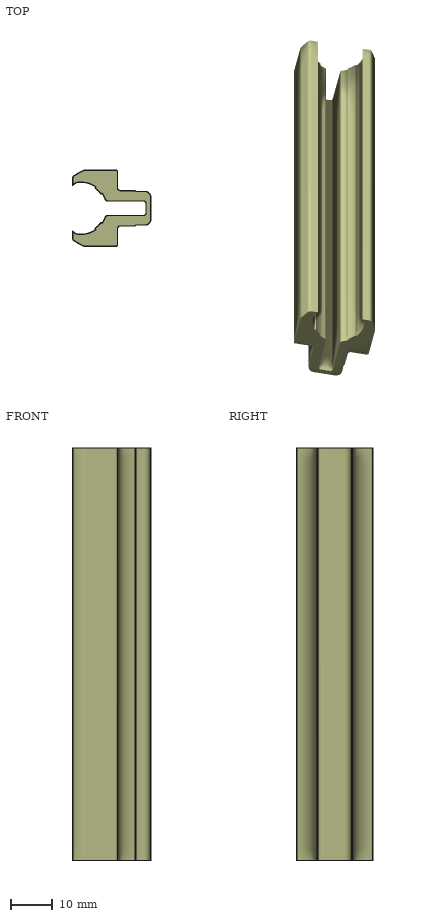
import cadquery as cq
import math

length = 100.0
depth = 19.0
width = 18.5
half_width = width / 2

jaw_depth = 10.9
lip_half_width = 7.7
bevel_angle = 30.0
lip_radius = 1.0
bevel_radius = 1.5
jaw_back_radius = 0.4

neck_root_half_width = 4.3
neck_back_half_width = 4.1
neck_step_x = 15.1
neck_step_length = 0.3
neck_root_radius = 0.7
neck_back_radius = 1.5

socket_center_x = 2.0
socket_radius = 6.3
mouth_half_width = 5.55
mouth_bevel_depth = 0.9
ridge_height = 0.35
ridge_center_angle = 45.0
ridge_half_angle = 10.0

slot_half_width = 1.75
slot_end_x = 17.8
slot_end_radius = 0.6
slot_mouth_radius = 0.6


def socket_point(angle, radius=socket_radius):
    """Point at an angle (degrees from +X) around the socket axis."""
    a = math.radians(angle)
    return (socket_center_x + radius * math.cos(a), radius * math.sin(a))


def round_corners(solid, corners, radius):
    """Fillet the full-length edges at the given corners and at their mirror images in Y."""
    for x, y in corners:
        for side in (1, -1):
            edge = cq.selectors.NearestToPointSelector((x, side * y, length / 2))
            solid = solid.edges("|Z").edges(edge).fillet(radius)
    return solid


def outer_body(lip, bevel_top, jaw_back, neck_root, step_front, step_rear, neck_back):
    upper = [lip, bevel_top, jaw_back, neck_root, step_front, step_rear, neck_back]
    lower = [(x, -y) for x, y in reversed(upper)]
    body = cq.Workplane("XY").polyline(upper + lower).close().extrude(length)
    body = round_corners(body, [lip], lip_radius)
    body = round_corners(body, [bevel_top], bevel_radius)
    body = round_corners(body, [jaw_back], jaw_back_radius)
    body = round_corners(body, [neck_root], neck_root_radius)
    return round_corners(body, [neck_back], neck_back_radius)


def half_cavity():
    """Socket and slot on the +Y side of the symmetry plane."""
    bevel_offset = socket_center_x - mouth_bevel_depth
    bevel_end = (mouth_bevel_depth, math.sqrt(socket_radius**2 - bevel_offset**2))
    bevel_end_angle = math.degrees(math.acos(-bevel_offset / socket_radius))
    ridge_radius = socket_radius - ridge_height
    ridge_front = ridge_center_angle + ridge_half_angle
    ridge_rear = ridge_center_angle - ridge_half_angle
    slot_angle = math.degrees(math.asin(slot_half_width / socket_radius))
    return (
        cq.Workplane("XY")
        .lineTo(0, mouth_half_width)
        .lineTo(*bevel_end)
        .threePointArc(socket_point((bevel_end_angle + ridge_front) / 2), socket_point(ridge_front))
        .lineTo(*socket_point(ridge_front, ridge_radius))
        .threePointArc(
            socket_point(ridge_center_angle, ridge_radius),
            socket_point(ridge_rear, ridge_radius),
        )
        .lineTo(*socket_point(ridge_rear))
        .threePointArc(socket_point((ridge_rear + slot_angle) / 2), socket_point(slot_angle))
        .lineTo(slot_end_x, slot_half_width)
        .lineTo(slot_end_x, 0)
        .close()
        .extrude(length)
    )


bevel_run = (half_width - lip_half_width) / math.tan(math.radians(bevel_angle))
body = outer_body(
    lip=(0, lip_half_width),
    bevel_top=(bevel_run, half_width),
    jaw_back=(jaw_depth, half_width),
    neck_root=(jaw_depth, neck_root_half_width),
    step_front=(neck_step_x, neck_root_half_width),
    step_rear=(neck_step_x + neck_step_length, neck_back_half_width),
    neck_back=(depth, neck_back_half_width),
)

upper_cavity = half_cavity()
result = body.cut(upper_cavity).cut(upper_cavity.mirror("XZ"))
slot_mouth_x = socket_center_x + math.sqrt(socket_radius**2 - slot_half_width**2)
result = round_corners(result, [(slot_mouth_x, slot_half_width)], slot_mouth_radius)
result = round_corners(result, [(slot_end_x, slot_half_width)], slot_end_radius)